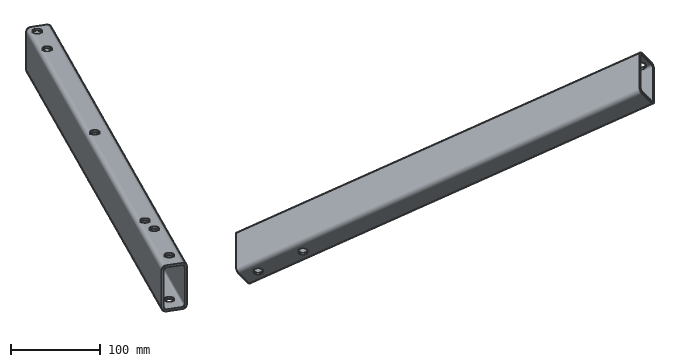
import cadquery as cq

length = 542.0
width = 30.0
height = 60.0
wall = 3.0
outer_radius = 6.0
inner_radius = outer_radius - wall

hole_diameter = 11.0
top_hole_positions = [11.0, 51.0, 241.0, 442.0]
top_hole_offset = -5.0
through_hole_positions = [462.0, 522.0]


def rounded_bar(bar_width, bar_height, corner_radius):
    """Solid bar along X, centred on the origin, with rounded long edges."""
    return cq.Workplane("XY").box(length, bar_width, bar_height).edges("|X").fillet(corner_radius)


def drills(positions, y, depth):
    """Vertical cylinders reaching down from the top face by the given depth."""
    points = [(x - length / 2, y) for x in positions]
    return (
        cq.Workplane("XY", origin=(0, 0, height / 2))
        .pushPoints(points)
        .circle(hole_diameter / 2)
        .extrude(-depth)
    )


tube = rounded_bar(width, height, outer_radius)
tube = tube.cut(rounded_bar(width - 2 * wall, height - 2 * wall, inner_radius))

tube = tube.cut(drills(top_hole_positions, top_hole_offset, height / 2))

result = tube.cut(drills(through_hole_positions, 0, height))